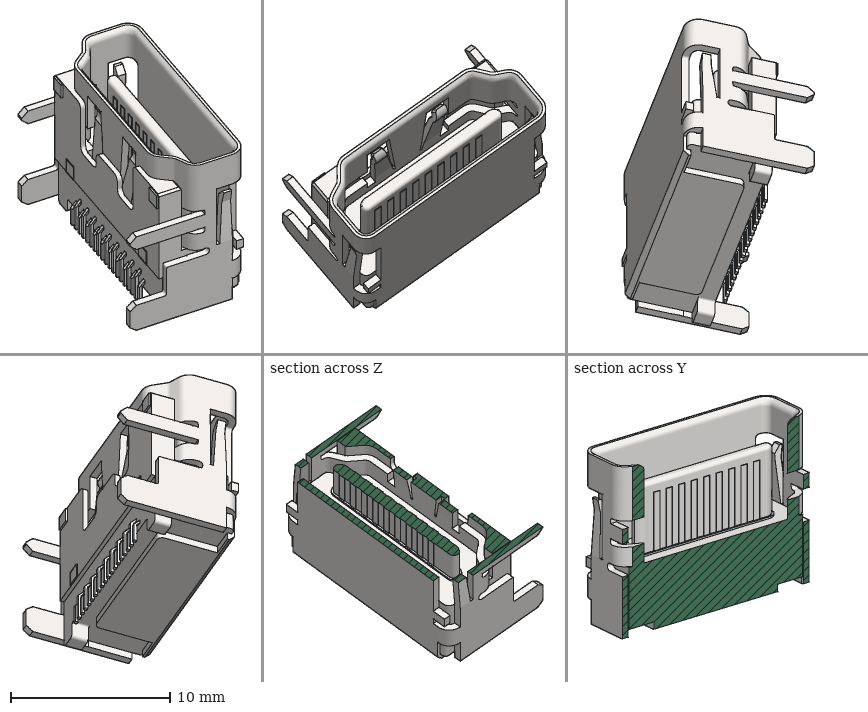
import cadquery as cq
import math


overshoot = 1.0
margin = 0.1

shell_width = 15.0
shell_depth = 5.6
shell_top = 11.53
wall = 0.5
half_width = shell_width / 2
inner_half_width = half_width - wall
corner_radius = 1.0
lip_chamfer = 0.3
lip_radius = 0.5
shoulder_y = -3.74
shoulder_angle = math.radians(64)
flank_angle = math.radians(38)
waist_half_width = 6.17

side_window_bottom = 4.74
side_window_top = 9.18
side_window_front = -2.12
window_corner_radius = 0.2
rear_window_half_width = 6.1
rear_tail_half_width = 6.5
corner_slit_bottom = 3.07
corner_notch_top = 1.66
rear_edge_chamfer = 0.35
lug_half_width = 7.1
lug_bottom = 3.49
lug_top = 4.17

tab_end = -8.28
tab_tip = 0.45
upper_tab_bottom = 6.44
upper_tab_top = 7.46
upper_tip_flat = 0.17
tab_gap = 0.38
tab_gap_rear = -2.95
gap_end_radius = 0.18
lower_tab_top = 2.0
lower_tip_rise = 0.36
side_plate_top = 4.23
side_slot_rear = -2.64
slot_end_radius = 0.24
plate_outer_radius = 0.1
plate_inner_radius = 0.17

window_outer = 3.21
window_inner = 1.475
window_top = 10.41
window_bottom = 5.4
window_taper = 0.095
spring_bottom = 5.0
spring_top = 10.13
spring_outer_top = 2.88
spring_outer_bottom = 2.55
spring_inner_top = 2.08
spring_inner_bottom = 1.05
spring_bend_bottom = 8.85
spring_bend_middle = 9.3
spring_tip_bottom = 9.73
spring_tip_front = -5.3
spring_tip_rear = -5.0
spring_tip_chamfer = 0.12
spring_bend_front = -5.13
spring_bend_rear = -4.7
spring_neck_rear = -4.9
lance_rear = -1.0
lance_top = 8.58
lance_outer_knee = 7.74
lance_inner_knee = 8.1
lance_tip_inset = 0.1
lance_tip_thickness = 0.22
lance_tip_front = -1.55
lance_root_front = -1.9
lance_inset = 0.25

body_half_width = 6.98
body_front = -5.68
body_floor = side_window_bottom
body_bottom = 0.5
foot_inner = 5.76
foot_rear = -4.55
foot_bottom = -0.57
foot_radius = 0.27
hollow_radius = 0.17
body_corner_radius = 0.5
keel_half_width = 4.98
keel_front = -4.5
keel_radius = 0.37
post_rear = -0.2
post_radius = 0.3

block_front = -5.95
block_rear = -4.34
block_bottom = 3.05
block_top = 9.74
block_chamfer = 0.15
notch_half_width = 3.49
notch_step = 7.35
notch_bottom = 5.96
notch_tongue = 1.42
notch_radius = 0.45
pad_size = 1.01
pad_height = 0.06
upper_pad_x = 6.38
upper_pad_z = 9.13
upper_pad_height = 0.12
lower_pad_x = 4.87
lower_pad_z = 3.6

tongue_half_width = 5.5
tongue_front_half_width = 4.7
tongue_rear = -2.37
tongue_front = -3.21
tongue_side_front = -2.88
tongue_top = 9.58
tongue_rear_radius = 0.35
tongue_tip_radius = 0.28
corner_bulge = 0.1
collar_margin = 0.14
collar_height = 0.12
contact_pitch = 1.0
contact_width = 0.5
contact_height = 0.04
contact_top = 8.85
front_contacts = (-4, 4)
rear_contacts = (-3.5, 4.5)

pin_count = 19
pin_pitch = 0.5
pin_width = 0.23
pin_thickness = 0.2
pin_front = -6.08
pin_bottom = -0.51
tall_pin_top = 1.67
short_pin_top = 1.19
pin_slope_rise = 0.43


def box(x0, x1, y0, y1, z0, z1):
    return cq.Workplane("XY").box(x1 - x0, y1 - y0, z1 - z0, centered=False).translate((x0, y0, z0))


def region(x0, x1, y0, y1, z0, z1):
    """Selector for the edges whose centres lie in this box or within a small margin of it."""
    return cq.selectors.BoxSelector(
        (x0 - margin, y0 - margin, z0 - margin), (x1 + margin, y1 + margin, z1 + margin)
    )


def both_sides(shape):
    return shape.union(shape.mirror("YZ"))


def yz_plate(points, x0, x1):
    """Extrude a closed outline of (y, z) points from x0 to x1."""
    return cq.Workplane("YZ", origin=(x0, 0, 0)).polyline(points).close().extrude(x1 - x0)


def xz_plate(points, y0, y1):
    """Extrude a closed outline of (x, z) points from y0 up to y1."""
    return cq.Workplane("XZ", origin=(0, y1, 0)).polyline(points).close().extrude(y1 - y0)


def mouth_outline(inset):
    """Solid with the D-shaped section of the shell, moved inwards by inset."""
    waist_y = shoulder_y - (half_width - waist_half_width) / math.tan(shoulder_angle)
    chin_half_width = waist_half_width - (waist_y + shell_depth) * math.tan(flank_angle)
    half = [
        (half_width, 0),
        (half_width, shoulder_y),
        (waist_half_width, waist_y),
        (chin_half_width, -shell_depth),
    ]
    points = half + [(-x, y) for x, y in reversed(half)]
    solid = cq.Workplane("XY").polyline(points).close().extrude(shell_top)
    waist = region(-waist_half_width, waist_half_width, waist_y, waist_y, 0, shell_top)
    upper_corners = region(-half_width, half_width, shoulder_y, 0, 0, shell_top)
    chin = region(-chin_half_width, chin_half_width, -shell_depth, -shell_depth, 0, shell_top)
    solid = solid.edges("|Z").edges(waist).fillet(corner_radius - wall)
    solid = solid.edges("|Z").edges(upper_corners).fillet(corner_radius)
    solid = solid.edges("|Z").edges(chin).fillet(corner_radius)
    if inset == 0:
        return solid
    return solid.faces("<Z").wires().toPending().offset2D(-inset).extrude(shell_top, combine=False)


def shell_tube():
    """Plain tube with a flared lead-in at the mouth."""
    tube = mouth_outline(0).cut(mouth_outline(wall))
    lip = tube.faces(">Z").val().innerWires()[0]
    tube = tube.newObject(lip.Edges()).chamfer(lip_chamfer)
    chamfer_z = shell_top - lip_chamfer
    chamfer_foot = region(-half_width, half_width, -shell_depth, 0, chamfer_z, chamfer_z)
    return tube.edges("not |Z").edges(chamfer_foot).fillet(lip_radius)


def side_openings():
    """Windows, tab gaps and corner cuts on the -X side of the shell."""
    behind = overshoot
    below = -overshoot
    outside = -half_width - overshoot
    ahead = -shell_depth - overshoot
    inboard = -rear_window_half_width
    window = box(outside, inboard, side_window_front, -wall, side_window_bottom, side_window_top)
    slit = box(outside, inboard, -wall, behind, corner_slit_bottom, side_window_top)
    slit = slit.edges("|Y and >X and >Z").fillet(window_corner_radius)
    corner = box(outside, inboard, -corner_radius, behind, corner_slit_bottom, side_window_bottom)
    notch = box(outside, inboard, -corner_radius, behind, below, corner_notch_top)
    gap_bottom = upper_tab_bottom - tab_gap
    gap_top = upper_tab_top + tab_gap
    gap = box(outside, -window_outer, ahead, tab_gap_rear, gap_bottom, gap_top)
    gap = gap.edges("|X and >Y").fillet(gap_end_radius)
    slot = box(outside, -body_half_width, ahead, side_slot_rear, side_plate_top, side_window_bottom)
    slot = slot.edges("|X and >Y").fillet(slot_end_radius)
    return window.union(slit).union(corner).union(notch).union(gap).union(slot)


def front_window():
    """Tapered window around the contact spring at -X."""
    inner_bottom = window_inner - window_taper * (window_top - window_bottom)
    points = [
        (-window_outer, window_bottom),
        (-window_outer, window_top),
        (-window_inner, window_top),
        (-inner_bottom, window_bottom),
    ]
    return xz_plate(points, -shell_depth - overshoot, block_rear)


def rear_lug():
    """Wider bottom of the rear wall beside the corner notch, and the lug in the corner slit."""
    tail = box(-rear_tail_half_width, -rear_window_half_width, -wall, 0, 0, corner_notch_top)
    lug = box(-lug_half_width, -rear_window_half_width, -wall, 0, lug_bottom, lug_top)
    return tail.union(lug)


def side_plate():
    """Flat lower plate with its soldering tab."""
    points = [
        (-corner_radius, 0),
        (tab_end + tab_tip, 0),
        (tab_end, lower_tip_rise),
        (tab_end, lower_tab_top - lower_tip_rise),
        (tab_end + tab_tip, lower_tab_top),
        (body_front, lower_tab_top),
        (body_front, side_plate_top),
        (-corner_radius, side_plate_top),
    ]
    plate = yz_plate(points, -half_width, -inner_half_width)
    front_corner = region(-half_width, 0, body_front, body_front, side_plate_top, side_plate_top)
    tab_corner = region(-half_width, 0, body_front, body_front, lower_tab_top, lower_tab_top)
    plate = plate.edges("|X").edges(front_corner).fillet(plate_outer_radius)
    return plate.edges("|X").edges(tab_corner).fillet(plate_inner_radius)


def upper_tab():
    """Pointed soldering tab in the -X side wall."""
    middle = (upper_tab_bottom + upper_tab_top) / 2
    points = [
        (tab_gap_rear + wall, upper_tab_bottom),
        (tab_end + tab_tip, upper_tab_bottom),
        (tab_end, middle - upper_tip_flat / 2),
        (tab_end, middle + upper_tip_flat / 2),
        (tab_end + tab_tip, upper_tab_top),
        (tab_gap_rear + wall, upper_tab_top),
    ]
    return yz_plate(points, -half_width, -inner_half_width)


def contact_spring():
    """Leaf at -X that leans into the mouth and bends back out at its tip."""
    leaf = (
        cq.Workplane("YZ", origin=(-window_outer, 0, 0))
        .moveTo(-shell_depth, spring_bottom)
        .lineTo(-shell_depth, notch_bottom)
        .lineTo(spring_tip_front, spring_bend_bottom)
        .threePointArc((spring_bend_front, spring_bend_middle), (spring_tip_front, spring_tip_bottom))
        .lineTo(spring_tip_rear, spring_top)
        .threePointArc((spring_bend_rear, spring_bend_middle), (spring_neck_rear, spring_bend_bottom))
        .lineTo(-shell_depth + wall, notch_bottom)
        .lineTo(-shell_depth + wall, spring_bottom)
        .close()
        .extrude(window_outer)
    )
    outline = [
        (-spring_outer_bottom, spring_bottom),
        (-spring_outer_top, spring_top),
        (-spring_inner_top, spring_top),
        (-spring_inner_bottom, spring_bottom),
    ]
    leaf = leaf.intersect(xz_plate(outline, -shell_depth - overshoot, block_rear))
    tip_sides = region(-window_outer, 0, spring_tip_front, spring_tip_rear, spring_tip_bottom, spring_top)
    return leaf.edges("not |X").edges(tip_sides).chamfer(spring_tip_chamfer)


def side_lance():
    """Tapered finger in the -X side window, leaning inwards up to its knee."""
    knee_x = -half_width + lance_inset
    tip_x = -half_width + lance_tip_inset
    section = [
        (-half_width, side_window_bottom),
        (knee_x, lance_outer_knee),
        (tip_x, lance_top),
        (tip_x + lance_tip_thickness, lance_top),
        (knee_x + wall, lance_inner_knee),
        (knee_x + wall, lance_outer_knee),
        (-inner_half_width, side_window_bottom),
    ]
    face = [
        (lance_rear, side_window_bottom),
        (lance_rear, lance_top),
        (lance_tip_front, lance_top),
        (lance_root_front, side_window_bottom),
    ]
    finger = xz_plate(section, lance_root_front, lance_rear)
    return finger.intersect(yz_plate(face, -half_width, 0))


def metal_shell():
    """Shell with its openings, side plates, soldering tabs, springs and lances."""
    shell = shell_tube()
    for cut in (side_openings(), front_window()):
        shell = shell.cut(cut).cut(cut.mirror("YZ"))
    underside = box(-body_half_width, body_half_width, body_front, -wall, -overshoot, body_bottom)
    shell = shell.cut(underside)
    for part in (rear_lug(), side_plate(), upper_tab(), contact_spring(), side_lance()):
        shell = shell.union(both_sides(part))
    wedge_outline = [(0, 0), (0, rear_edge_chamfer), (-rear_edge_chamfer, 0)]
    wedge = yz_plate(wedge_outline, -half_width, half_width)
    return shell.cut(wedge)


def feet():
    """Strip under the body front, hollowed so that a locating foot is left at each end."""
    strip = box(-body_half_width, body_half_width, body_front, foot_rear, foot_bottom, body_floor)
    hollow = box(
        -foot_inner,
        foot_inner,
        body_front - overshoot,
        foot_rear + overshoot,
        foot_bottom - overshoot,
        body_bottom,
    )
    hollow = hollow.edges("|Y and >Z").fillet(hollow_radius)
    return strip.cut(hollow).edges("|Y and <Z").fillet(foot_radius)


def insulator_body():
    """Floor of the mouth with its keel, feet and rear corner posts."""
    body = box(-body_half_width, body_half_width, body_front, -wall, body_bottom, body_floor)
    body = body.edges("|Z and >Y").fillet(body_corner_radius)
    keel = box(-keel_half_width, keel_half_width, keel_front, -wall, 0, body_floor)
    keel = keel.edges("|Z and <Y").fillet(keel_radius)
    post_inner = -rear_window_half_width
    post = box(-body_half_width, post_inner, -corner_radius, post_rear, body_bottom, corner_notch_top)
    post = post.edges("|Z and >Y and <X").fillet(post_radius)
    return body.union(keel).union(feet()).union(both_sides(post))


def front_block():
    """Block across the front of the shell, notched around the two contact springs."""
    block = box(-body_half_width, body_half_width, block_front, block_rear, block_bottom, block_top)
    block = block.faces(">Z").edges("not <Y").chamfer(block_chamfer)
    notch_outline = [
        (-notch_half_width, notch_bottom),
        (-notch_tongue, notch_bottom),
        (-notch_tongue, notch_step),
        (notch_tongue, notch_step),
        (notch_tongue, notch_bottom),
        (notch_half_width, notch_bottom),
        (notch_half_width, block_top + overshoot),
        (-notch_half_width, block_top + overshoot),
    ]
    notch = xz_plate(notch_outline, block_front - overshoot, block_rear + overshoot)
    block = block.cut(notch)
    rounded = region(
        -notch_half_width, notch_half_width, block_front, block_rear, notch_bottom, block_top
    )
    block = block.edges("|Y").edges(rounded).fillet(notch_radius)
    return block.cut(mouth_outline(0))


def pads():
    """Square raised pads on the front of the block."""
    def pad(x, z, height):
        half = pad_size / 2
        return box(x - half, x + half, block_front - height, block_front, z - half, z + half)

    upper = pad(-upper_pad_x, upper_pad_z, upper_pad_height)
    lower = pad(-lower_pad_x, lower_pad_z, pad_height)
    return both_sides(upper.union(lower))


def tongue_section():
    """Outline of the tongue, its front corners sweeping back to the sides."""
    rear_corner = tongue_rear - tongue_rear_radius
    rear_half_width = tongue_half_width - tongue_rear_radius
    corner_chord_x = (tongue_half_width + tongue_front_half_width) / 2
    corner_chord_y = (tongue_side_front + tongue_front) / 2
    bulge_x = corner_chord_x + corner_bulge
    bulge_y = corner_chord_y - corner_bulge
    return (
        cq.Workplane("XY", origin=(0, 0, body_floor))
        .moveTo(-tongue_half_width, rear_corner)
        .radiusArc((-rear_half_width, tongue_rear), tongue_rear_radius)
        .lineTo(rear_half_width, tongue_rear)
        .radiusArc((tongue_half_width, rear_corner), tongue_rear_radius)
        .lineTo(tongue_half_width, tongue_side_front)
        .threePointArc((bulge_x, bulge_y), (tongue_front_half_width, tongue_front))
        .lineTo(-tongue_front_half_width, tongue_front)
        .threePointArc((-bulge_x, bulge_y), (-tongue_half_width, tongue_side_front))
        .close()
    )


def contact_row(first_and_last, face_y):
    """Row of flat contacts standing slightly proud of the tongue face at face_y."""
    first, last = first_and_last
    row = cq.Workplane("XY")
    for i in range(round((last - first) / contact_pitch) + 1):
        left = first + i * contact_pitch - contact_width / 2
        right = left + contact_width
        strip = box(left, right, face_y - contact_height, face_y + contact_height, body_floor, contact_top)
        row = row.union(strip)
    return row


def mating_tongue():
    """Blade with a rounded tip on a low collar, carrying contacts on both faces."""
    blade = tongue_section().extrude(tongue_top - body_floor)
    blade = blade.faces(">Z").edges().fillet(tongue_tip_radius)
    collar = tongue_section().offset2D(collar_margin).extrude(collar_height)
    blade = blade.union(collar)
    blade = blade.union(contact_row(front_contacts, tongue_front))
    return blade.union(contact_row(rear_contacts, tongue_rear))


def pins():
    """Bent pins that leave the body front alternately high and low."""
    row = cq.Workplane("XY")
    for i in range(pin_count):
        x = (i - (pin_count - 1) / 2) * pin_pitch
        top = tall_pin_top if i % 2 else short_pin_top
        outline = [
            (body_front, top),
            (pin_front, top - pin_slope_rise),
            (pin_front, pin_bottom),
            (pin_front + pin_thickness, pin_bottom),
            (pin_front + pin_thickness, top - pin_slope_rise),
            (body_front, top - pin_slope_rise / 2),
            (body_front + wall, top - pin_slope_rise / 2),
            (body_front + wall, top),
        ]
        row = row.union(yz_plate(outline, x - pin_width / 2, x + pin_width / 2))
    return row


result = (
    metal_shell()
    .union(insulator_body())
    .union(front_block())
    .union(pads())
    .union(mating_tongue())
    .union(pins())
)